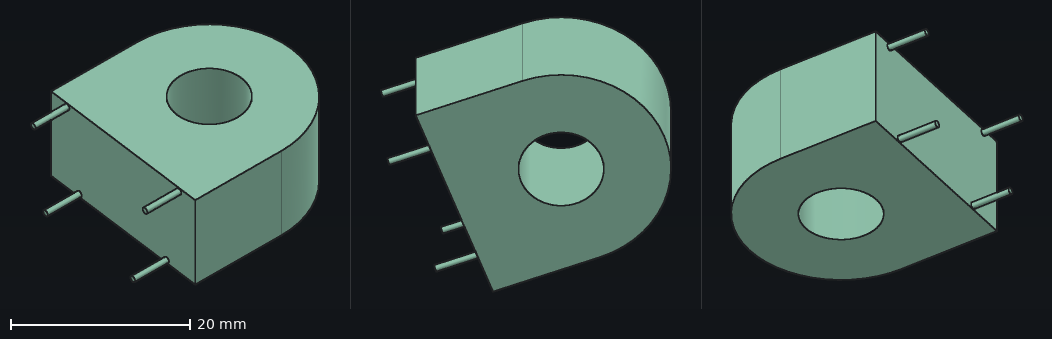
import cadquery as cq

overall_length = 30.0
pin_length = 5.0
width = 24.5
height = 12.5
bore_diameter = 9.5

pin_diameter = 0.8
top_pin_spacing = 19.0
bottom_pin_spacing = 14.82
pin_row_spacing = 11.5

back_radius = width / 2
front_y = back_radius - (overall_length - pin_length)


def make_housing():
    outline = (
        cq.Workplane("XY")
        .workplane(offset=-height / 2)
        .moveTo(-back_radius, front_y)
        .lineTo(back_radius, front_y)
        .lineTo(back_radius, 0)
        .threePointArc((0, back_radius), (-back_radius, 0))
        .close()
    )
    bore = cq.Workplane("XY", origin=(0, 0, -height / 2)).circle(bore_diameter / 2).extrude(height)
    return outline.extrude(height).cut(bore)


def make_pin_pair(spacing, z):
    """Two pins standing out of the front face towards -Y."""
    return (
        cq.Workplane("XZ", origin=(0, front_y, z))
        .pushPoints([(-spacing / 2, 0), (spacing / 2, 0)])
        .circle(pin_diameter / 2)
        .extrude(pin_length)
    )


result = (
    make_housing()
    .union(make_pin_pair(top_pin_spacing, pin_row_spacing / 2))
    .union(make_pin_pair(bottom_pin_spacing, -pin_row_spacing / 2))
)